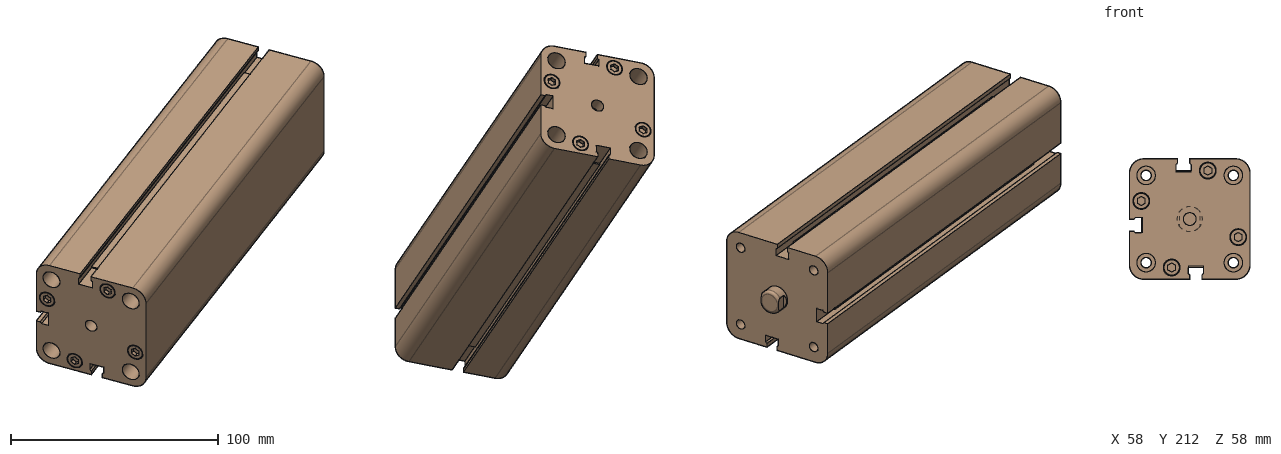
import cadquery as cq
import math

total_length = 212.0
rod_projection = 6.5
body_length = total_length - rod_projection
body_side = 58.0
half_side = body_side / 2
corner_radius = 7.0

slot_offset = 3.0
slot_mouth_width = 5.7
slot_inner_width = 7.2
slot_lip_depth = 2.1
slot_depth = 5.7
cap_slot_depth = 6.4
cap_length = 14.8

mount_pitch = 42.0
mount_hole_diameter = 4.9
mount_bore_diameter = 9.0
mount_bore_depth = cap_length

center_hole_diameter = 6.1
center_hole_depth = 7.5

screw_across = 8.7
screw_outward = 23.3
screw_recess_diameter = 8.0
screw_recess_depth = 4.2
screw_head_diameter = 7.5
screw_socket_flats = 3.8
screw_socket_depth = 2.1

rod_diameter = 12.0
rod_flats = 10.0
rod_flat_length = 4.7
rod_end_fillet = 1.5


def front_plane(y=0.0):
    """Sketch plane with X right and Z up; extruding by a negative length goes towards +Y."""
    return cq.Workplane("XZ", origin=(0, y, 0))


def make_body():
    block = front_plane().rect(body_side, body_side).extrude(-body_length)
    return block.edges("|Y").fillet(corner_radius)


def slot_cutter(depth, start, length):
    """One stretch of the top face slot; the other slots are this one turned about Y."""
    half_mouth = slot_mouth_width / 2
    half_inner = slot_inner_width / 2
    lip_z = half_side - slot_lip_depth
    slope_z = lip_z - (half_inner - half_mouth)
    floor_z = half_side - depth
    profile = [
        (-half_mouth, half_side),
        (-half_mouth, lip_z),
        (-half_inner, slope_z),
        (-half_inner, floor_z),
        (half_inner, floor_z),
        (half_inner, slope_z),
        (half_mouth, lip_z),
        (half_mouth, half_side),
    ]
    cutter = front_plane(start).polyline(profile).close().extrude(-length)
    return cutter.translate((-slot_offset, 0, 0))


def turned(shape, quarter_turns):
    """Turn a shape about Y by quarter turns, from the top face towards the -X face."""
    return shape.rotate((0, 0, 0), (0, 1, 0), -90 * quarter_turns)


def screw_cutter():
    """Annular gap around one screw head, plus its hexagonal socket."""
    recess = front_plane().circle(screw_recess_diameter / 2).extrude(-screw_recess_depth)
    head = front_plane().circle(screw_head_diameter / 2).extrude(-screw_recess_depth)
    socket_corners = screw_socket_flats / math.cos(math.radians(30))
    socket = front_plane().polygon(6, socket_corners).extrude(-screw_socket_depth)
    socket = socket.rotate((0, 0, 0), (0, 1, 0), 30)
    return recess.cut(head).union(socket)


def make_rod():
    """Rod tip with a rounded rim and flats that run out at 45 degrees."""
    radius = rod_diameter / 2
    rod = front_plane(body_length).circle(radius).extrude(-rod_projection)
    rod = rod.faces(">Y").edges().fillet(rod_end_fillet)
    half_flats = rod_flats / 2
    flat_start = total_length - rod_flat_length
    run_out = radius - half_flats
    profile = [
        (half_flats, total_length),
        (half_flats, flat_start),
        (radius, flat_start - run_out),
        (radius, total_length),
    ]
    flat = cq.Workplane("XY").polyline(profile).close().extrude(radius, both=True)
    return rod.cut(flat).cut(flat.mirror("YZ"))


result = make_body()

for quarter in range(3):
    result = result.cut(turned(slot_cutter(slot_depth, 0, body_length), quarter))
    for cap_start in (0, body_length - cap_length):
        result = result.cut(turned(slot_cutter(cap_slot_depth, cap_start, cap_length), quarter))

mount_points = front_plane().rect(mount_pitch, mount_pitch, forConstruction=True).vertices()
mount_holes = mount_points.circle(mount_hole_diameter / 2).extrude(-body_length)
mount_bores = mount_points.circle(mount_bore_diameter / 2).extrude(-mount_bore_depth)
result = result.cut(mount_holes).cut(mount_bores)

result = result.cut(front_plane().circle(center_hole_diameter / 2).extrude(-center_hole_depth))

for quarter in range(4):
    angle = math.atan2(screw_outward, screw_across) + quarter * math.pi / 2
    reach = math.hypot(screw_across, screw_outward)
    position = (reach * math.cos(angle), 0, reach * math.sin(angle))
    result = result.cut(screw_cutter().translate(position))

result = result.union(make_rod())